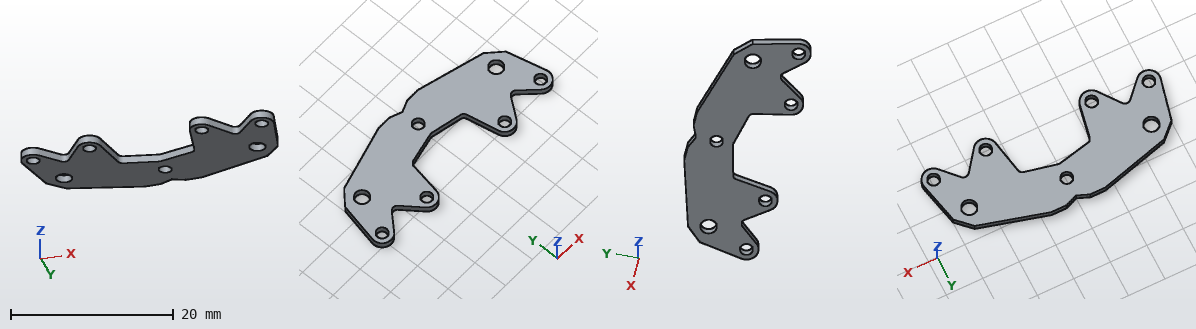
import cadquery as cq
import math

length = 32.5
width = 12.5
thickness = 1.0

small_hole_diameter = 1.6
large_hole_diameter = 2.0
tip_radius = 1.5
outer_tip = (length / 2 - tip_radius, 2.2)
inner_tip = (7.25, tip_radius)
large_hole = (12.48, 7.48)
middle_hole = (0, 9.25)

notch_bottom = (0, width - 0.65)
notch_rim = (1.62, width)
crest_end = (3.7, width)
shoulder_top = (12.97, 9.98)
shoulder_side = (14.95, 8.05)

arch_top = (0, 7.18)
arch_corner = (4.85, 6.1)
leg_gap = (11.02, 4.0)
arch_top_radius = 1.0
arch_corner_radius = 0.65
leg_gap_radius = 0.68


def tangent_point(corner, center, side):
    """Touch point of the line from a corner to a leg tip circle.

    Side +1 turns counter-clockwise from the centre-to-corner direction, -1 clockwise.
    """
    dx = corner[0] - center[0]
    dy = corner[1] - center[1]
    angle = math.atan2(dy, dx) + side * math.acos(tip_radius / math.hypot(dx, dy))
    return (
        center[0] + tip_radius * math.cos(angle),
        center[1] + tip_radius * math.sin(angle),
    )


def tip_bottom(center):
    return (center[0], center[1] - tip_radius)


def half_plate():
    """The +X half, outlined clockwise from the notch."""
    return (
        cq.Workplane("XY")
        .moveTo(*notch_bottom)
        .lineTo(*notch_rim)
        .lineTo(*crest_end)
        .lineTo(*shoulder_top)
        .lineTo(*shoulder_side)
        .lineTo(*tangent_point(shoulder_side, outer_tip, -1))
        .threePointArc(tip_bottom(outer_tip), tangent_point(leg_gap, outer_tip, 1))
        .lineTo(*leg_gap)
        .lineTo(*tangent_point(leg_gap, inner_tip, -1))
        .threePointArc(tip_bottom(inner_tip), tangent_point(arch_corner, inner_tip, 1))
        .lineTo(*arch_corner)
        .lineTo(*arch_top)
        .close()
        .extrude(thickness)
    )


def mirrored(point):
    return (-point[0], point[1])


def both_sides(points):
    return points + [mirrored(point) for point in points]


def round_corners(plate, corners, radius):
    """Fillet the upright edges that stand on the given corners."""
    for x, y in corners:
        edge = cq.selectors.NearestToPointSelector((x, y, thickness / 2))
        plate = plate.edges("|Z").edges(edge).fillet(radius)
    return plate


def drill(plate, centers, diameter):
    holes = cq.Workplane("XY").pushPoints(centers).circle(diameter / 2).extrude(thickness)
    return plate.cut(holes)


right_half = half_plate()
plate = right_half.union(right_half.mirror("YZ")).clean()

plate = round_corners(plate, [arch_top], arch_top_radius)
plate = round_corners(plate, both_sides([arch_corner]), arch_corner_radius)
plate = round_corners(plate, both_sides([leg_gap]), leg_gap_radius)

plate = drill(plate, [middle_hole] + both_sides([outer_tip, inner_tip]), small_hole_diameter)
plate = drill(plate, both_sides([large_hole]), large_hole_diameter)

result = cq.Workplane("XY").newObject([plate.solids().val()])